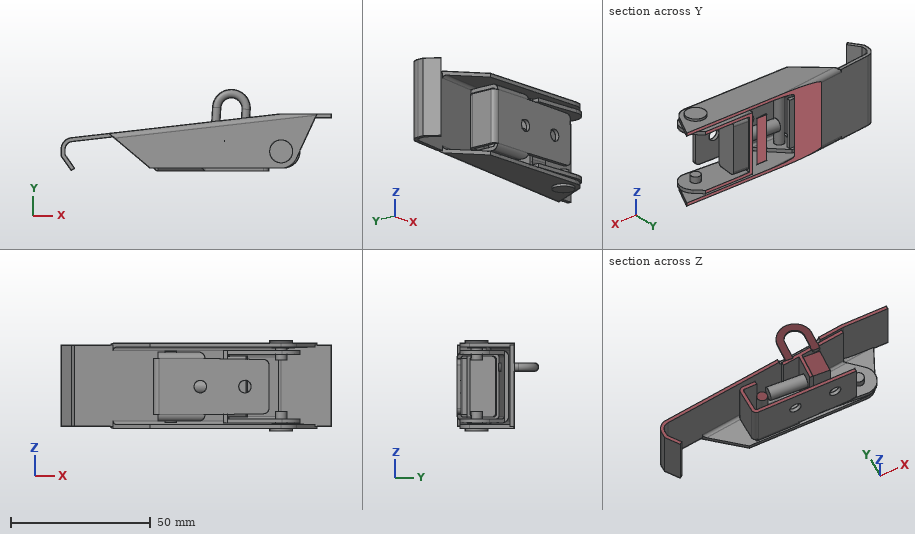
import cadquery as cq
import math


SHEET = 1.5
CENTRE_Z = -0.3

TAIL_END_X = 18.0
TAIL_TOP_Y = 13.5
WEB_BEND_X = -0.1
WEB_SLOPE = math.radians(6.5)
STRIP_WIDTH = 29.1
LEVER_WIDTH = 30.7
LEVER_OUTER_BEND = 1.9
LEVER_INNER_BEND = 1.2
FLANGE_BOTTOM_Y = -6.0
FLANGE_BOTTOM_LEFT_X = -47.0
FLANGE_LEFT_ANGLE = math.radians(49.8)
FLANGE_TAIL_X = 12.9
LEVER_LENGTH = 97.0
HOOK_END_X = TAIL_END_X - LEVER_LENGTH
HOOK_RADIUS = 4.3
LIP_TOP_Y = -1.65
LIP_LENGTH = 6.4
LIP_ANGLE = math.radians(35)
SLOT_CENTRE_X = -18.6
SLOT_LENGTH = 17.5
SLOT_WIDTH = 4.7

LATCH_WIDTH = 32.5
RIVET_HEAD_DIAMETER = 8.2
RIVET_COLLAR_DIAMETER = 6.6
RIVET_COLLAR_THICKNESS = 0.4
RIVET_DIAMETER = 4.1
RIVET_INNER_Z = 9.2

MECHANISM_TILT = math.radians(3.4)
BRACKET_WIDTH = 26.0
BRACKET_BEND = 0.9
BRACKET_TOP_DEPTH = SHEET + 0.5
BRACKET_FLOOR_DEPTH = BRACKET_TOP_DEPTH + SHEET
BRACKET_REAR_X = -1.0
WALL_X = -20.7
WALL_BOTTOM_Y = -1.9
WALL_HEIGHT = 10.7
EAR_LEFT_X = -19.2
EAR_X = 0.7
EAR_Y = 0.1
EAR_RADIUS = 6.1
TONGUE_LEFT_X = -26.7
TONGUE_WIDTH = 19.4

BLOCK_LENGTH = 6.6
BLOCK_HEIGHT = 9.2
BLOCK_WIDTH = 21.9
BLOCK_EDGE_RADIUS = 1.5
ROD_DIAMETER = 5.0
ROD_LENGTH = 16.0
ROD_HEIGHT = 3.9

BASE_LEFT_X = -45.8
BASE_RIGHT_X = -4.4
BASE_BOTTOM_Y = -7.1
BASE_TOP_Y = 5.5
BASE_WIDTH = 20.2
BASE_RIGHT_WIDTH = 19.4
BASE_CORNER_RADIUS = 1.9
BASE_BEND = 1.9
BASE_TOP_FLANGE_X = -38.8
BASE_SIDE_WIDTH = 24.8
BASE_SIDE_BEND = (BASE_SIDE_WIDTH - BASE_WIDTH) / 2
BASE_SIDE_LEFT_X = -44.2
BASE_SIDE_RIGHT_X = -27.4
SCREW_HOLE_DIAMETER = 4.5
SCREW_HOLE_XS = (-29.0, -13.0)

PIN_X = -39.6
PIN_Y = -1.5
PIN_DIAMETER = 4.1
PIN_LENGTH = 25.6

STAPLE_X = -17.8
STAPLE_Y = 15.4
STAPLE_Z = 6.7
STAPLE_WIDTH = 13.6
WIRE_DIAMETER = 3.0
STAPLE_RADIUS = (STAPLE_WIDTH - WIRE_DIAMETER) / 2
STAPLE_LEG = 7.2

FAR = 116.4
TOLERANCE = 0.0001


def polar(x, y, radius, angle):
    return (x + radius * math.cos(angle), y + radius * math.sin(angle))


def web_y(x, depth=0.0):
    """Height of the sloping web plane, measured a given depth below its outer face."""
    return TAIL_TOP_Y + (x - WEB_BEND_X) * math.tan(WEB_SLOPE) - depth / math.cos(WEB_SLOPE)


def tangent_angle(x, y, radius, point):
    """Angle, clockwise of the point, where the tangent from an outside point touches a circle."""
    dx, dy = point[0] - x, point[1] - y
    return math.atan2(dy, dx) - math.acos(radius / math.hypot(dx, dy))


def across(outline, width, middle_z=0.0):
    """Extrude an XY outline symmetrically along Z."""
    return outline.extrude(width / 2, both=True).translate((0, 0, middle_z))


def box(x_min, x_max, y_min, y_max, width, middle_z=0.0):
    outline = cq.Workplane("XY").center((x_min + x_max) / 2, (y_min + y_max) / 2)
    return across(outline.rect(x_max - x_min, y_max - y_min), width, middle_z)


def below(y):
    return box(-FAR, FAR, y - FAR, y, FAR)


def cylinder(x, y, diameter, z_min, z_max):
    return cq.Workplane("XY", origin=(x, y, z_min)).circle(diameter / 2).extrude(z_max - z_min)



def lever_wedge():
    """Side outline of the flanges, with the web plane carried straight on past the tail."""
    radius = -FLANGE_BOTTOM_Y
    tail_corner = (FLANGE_TAIL_X, TAIL_TOP_Y)
    tangent = tangent_angle(0, 0, radius, tail_corner)
    corner = polar(0, 0, radius, tangent)
    rear_run = (tail_corner[0] - corner[0]) / (tail_corner[1] - corner[1])
    web_tan = math.tan(WEB_SLOPE)
    rise = (web_y(FLANGE_TAIL_X) - TAIL_TOP_Y) / (1 - rear_run * web_tan)
    rear_top = (FLANGE_TAIL_X + rise * rear_run, TAIL_TOP_Y + rise)
    left_tan = math.tan(FLANGE_LEFT_ANGLE)
    left_rise = (web_y(FLANGE_BOTTOM_LEFT_X) - FLANGE_BOTTOM_Y) / (1 + left_tan * web_tan)
    left_top_x = FLANGE_BOTTOM_LEFT_X - left_rise * left_tan
    outline = (
        cq.Workplane("XY")
        .moveTo(FLANGE_BOTTOM_LEFT_X, FLANGE_BOTTOM_Y)
        .lineTo(0, FLANGE_BOTTOM_Y)
        .threePointArc(polar(0, 0, radius, (tangent - math.pi / 2) / 2), corner)
        .lineTo(*rear_top)
        .lineTo(left_top_x, web_y(left_top_x))
        .close()
    )
    return across(outline, LEVER_WIDTH)


def sloping_edges(solid, depth):
    """The two long edges of a prism that lie on the web plane at the given depth."""
    def on_plane(edge):
        return all(abs(v.Y - web_y(v.X, depth)) < TOLERANCE for v in edge.Vertices())
    return solid.newObject([e for e in solid.edges("not |Z").vals() if on_plane(e)])


def under_web(depth, width, edge_radius, middle_z=0.0):
    """Everything below a plane parallel to the web, with its two long edges rounded."""
    region = across(
        cq.Workplane("XY").polyline([
            (-FAR, -FAR),
            (FAR, -FAR),
            (FAR, web_y(FAR, depth)),
            (-FAR, web_y(-FAR, depth)),
        ]).close(),
        width,
        middle_z,
    )
    return sloping_edges(region, depth).fillet(edge_radius)


def lever_channel(wedge):
    outside = sloping_edges(wedge, 0).fillet(LEVER_OUTER_BEND).intersect(below(TAIL_TOP_Y))
    cavity = under_web(SHEET, LEVER_WIDTH - 2 * SHEET, LEVER_INNER_BEND)
    return outside.cut(cavity.intersect(below(TAIL_TOP_Y - SHEET)))


def lever_strip():
    """Flat tail, sloping web and hook bent from one strip."""
    hook_x = HOOK_END_X + HOOK_RADIUS
    hook_y = web_y(hook_x, HOOK_RADIUS)
    inner_radius = HOOK_RADIUS - SHEET
    web_normal = math.pi / 2 + WEB_SLOPE
    arc_middle = (web_normal + math.pi) / 2
    inner_bend_x = WEB_BEND_X + SHEET * math.tan(WEB_SLOPE / 2)
    tip_outer = (
        HOOK_END_X + LIP_LENGTH * math.sin(LIP_ANGLE),
        LIP_TOP_Y - LIP_LENGTH * math.cos(LIP_ANGLE),
    )
    tip_inner = polar(*tip_outer, SHEET, LIP_ANGLE)
    outline = (
        cq.Workplane("XY")
        .moveTo(TAIL_END_X, TAIL_TOP_Y)
        .lineTo(WEB_BEND_X, TAIL_TOP_Y)
        .lineTo(*polar(hook_x, hook_y, HOOK_RADIUS, web_normal))
        .threePointArc(polar(hook_x, hook_y, HOOK_RADIUS, arc_middle), (HOOK_END_X, hook_y))
        .lineTo(HOOK_END_X, LIP_TOP_Y)
        .lineTo(*tip_outer)
        .lineTo(*tip_inner)
        .lineTo(HOOK_END_X + SHEET, LIP_TOP_Y + SHEET * math.tan(LIP_ANGLE / 2))
        .lineTo(HOOK_END_X + SHEET, hook_y)
        .threePointArc(
            polar(hook_x, hook_y, inner_radius, arc_middle),
            polar(hook_x, hook_y, inner_radius, web_normal),
        )
        .lineTo(inner_bend_x, TAIL_TOP_Y - SHEET)
        .lineTo(TAIL_END_X, TAIL_TOP_Y - SHEET)
        .close()
    )
    return across(outline, STRIP_WIDTH)


def staple_slot():
    slot = cq.Workplane("XZ").center(SLOT_CENTRE_X, STAPLE_Z).slot2D(SLOT_LENGTH, SLOT_WIDTH)
    return slot.extrude(-FAR)


def make_lever(rivets):
    wedge = lever_wedge()
    lever = lever_channel(wedge).union(lever_strip().cut(wedge))
    lever = lever.cut(staple_slot())
    for rivet in rivets:
        lever = lever.cut(rivet)
    return lever



def make_rivet(side):
    """Pivot rivet for the +Z (side = 1) or -Z (side = -1) flange."""
    flange_outer = LEVER_WIDTH / 2
    flange_inner = flange_outer - SHEET
    rivet = cylinder(0, 0, RIVET_DIAMETER, RIVET_INNER_Z, flange_outer)
    rivet = rivet.union(cylinder(0, 0, RIVET_HEAD_DIAMETER, flange_outer, LATCH_WIDTH / 2))
    collar_bottom = flange_inner - RIVET_COLLAR_THICKNESS
    rivet = rivet.union(cylinder(0, 0, RIVET_COLLAR_DIAMETER, collar_bottom, flange_inner))
    return rivet if side > 0 else rivet.mirror("XY")



def tilted(body, x, y):
    """Turn a body about a Z-parallel axis through (x, y) by the tilt of the mechanism."""
    return body.rotate((x, y, 0), (x, y, 1), -math.degrees(MECHANISM_TILT))


def on_wall(x_min, x_max, y_min, y_max, width):
    """Upright box placed from the lower outer corner of the end wall."""
    return box(WALL_X + x_min, WALL_X + x_max, WALL_BOTTOM_Y + y_min, WALL_BOTTOM_Y + y_max, width, CENTRE_Z)


def ear_profile():
    """Side outline of the ears, round the pivot and up to the floor."""
    floor_end = (BRACKET_REAR_X, web_y(BRACKET_REAR_X, BRACKET_FLOOR_DEPTH))
    bottom = -math.pi / 2 - MECHANISM_TILT
    rear = tangent_angle(EAR_X, EAR_Y, EAR_RADIUS, floor_end)
    lowest = polar(EAR_X, EAR_Y, EAR_RADIUS, bottom)
    left_y = lowest[1] + (lowest[0] - EAR_LEFT_X) * math.tan(MECHANISM_TILT)
    outline = (
        cq.Workplane("XY")
        .moveTo(EAR_LEFT_X, left_y)
        .lineTo(*lowest)
        .threePointArc(
            polar(EAR_X, EAR_Y, EAR_RADIUS, (bottom + rear) / 2),
            polar(EAR_X, EAR_Y, EAR_RADIUS, rear),
        )
        .lineTo(*floor_end)
        .lineTo(BRACKET_REAR_X, web_y(BRACKET_REAR_X, BRACKET_TOP_DEPTH))
        .lineTo(EAR_LEFT_X, web_y(EAR_LEFT_X, BRACKET_TOP_DEPTH))
        .close()
    )
    return across(outline, BRACKET_WIDTH, CENTRE_Z)


def bracket_tongue():
    """Floor carried on past the end wall to hold the front leg of the staple."""
    outline = cq.Workplane("XY").polyline([
        (TONGUE_LEFT_X, web_y(TONGUE_LEFT_X, BRACKET_FLOOR_DEPTH)),
        (EAR_LEFT_X, web_y(EAR_LEFT_X, BRACKET_FLOOR_DEPTH)),
        (EAR_LEFT_X, web_y(EAR_LEFT_X, BRACKET_TOP_DEPTH)),
        (TONGUE_LEFT_X, web_y(TONGUE_LEFT_X, BRACKET_TOP_DEPTH)),
    ]).close()
    return across(outline, TONGUE_WIDTH, CENTRE_Z)


def make_bracket(rivets, staple, rod):
    cavity = under_web(BRACKET_FLOOR_DEPTH, BRACKET_WIDTH - 2 * SHEET, BRACKET_BEND, CENTRE_Z)
    envelope = under_web(BRACKET_TOP_DEPTH, BRACKET_WIDTH, BRACKET_BEND + SHEET, CENTRE_Z)
    wall = tilted(on_wall(0, SHEET, 0, WALL_HEIGHT, BRACKET_WIDTH), WALL_X, WALL_BOTTOM_Y)
    bracket = ear_profile().cut(cavity).union(wall).union(bracket_tongue()).intersect(envelope)
    for fitted_body in (*rivets, staple, rod):
        bracket = bracket.cut(fitted_body)
    return bracket



def make_block():
    block = on_wall(SHEET, SHEET + BLOCK_LENGTH, 0, BLOCK_HEIGHT, BLOCK_WIDTH)
    return tilted(block.edges("|X").fillet(BLOCK_EDGE_RADIUS), WALL_X, WALL_BOTTOM_Y)


def make_rod():
    """Round rod through the end wall, butting against the block."""
    start = (WALL_X + SHEET, WALL_BOTTOM_Y + ROD_HEIGHT, CENTRE_Z)
    rod = cq.Workplane("YZ", origin=start).circle(ROD_DIAMETER / 2).extrude(-ROD_LENGTH)
    return tilted(rod, WALL_X, WALL_BOTTOM_Y)



def base_strip():
    """Mounting plate, front wall and top flange bent from one strip."""
    plate_top = BASE_BOTTOM_Y + SHEET
    outside = box(BASE_LEFT_X, BASE_RIGHT_X, BASE_BOTTOM_Y, BASE_TOP_Y, BASE_WIDTH, CENTRE_Z)
    outside = outside.edges("|Z and <X").fillet(BASE_BEND)
    inside = box(BASE_LEFT_X + SHEET, FAR, plate_top, BASE_TOP_Y - SHEET, BASE_WIDTH, CENTRE_Z)
    inside = inside.edges("|Z and <X").fillet(BASE_BEND - SHEET)
    above_plate = box(BASE_TOP_FLANGE_X, FAR, plate_top, FAR, BASE_WIDTH, CENTRE_Z)
    return outside.cut(inside).cut(above_plate)


def base_plan():
    """Outline over the strip: parallel at the front, narrowing to rounded rear corners."""
    front_half = BASE_WIDTH / 2
    rear_half = BASE_RIGHT_WIDTH / 2
    outline = cq.Workplane("XZ", origin=(0, 0, CENTRE_Z)).polyline([
        (BASE_LEFT_X, -front_half),
        (BASE_SIDE_RIGHT_X, -front_half),
        (BASE_RIGHT_X, -rear_half),
        (BASE_RIGHT_X, rear_half),
        (BASE_SIDE_RIGHT_X, front_half),
        (BASE_LEFT_X, front_half),
    ]).close()
    return outline.extrude(FAR, both=True).edges("|Y and >X").fillet(BASE_CORNER_RADIUS)


def base_sides():
    """Side walls bent up from the plate, with a 45 degree rear edge."""
    height = BASE_TOP_Y - BASE_BOTTOM_Y
    x_range = (BASE_SIDE_LEFT_X, BASE_SIDE_RIGHT_X)
    outside = box(*x_range, BASE_BOTTOM_Y, BASE_TOP_Y, BASE_SIDE_WIDTH, CENTRE_Z)
    outside = outside.edges("|X and <Y").fillet(BASE_SIDE_BEND)
    inside = box(*x_range, BASE_BOTTOM_Y + SHEET, FAR, BASE_SIDE_WIDTH - 2 * SHEET, CENTRE_Z)
    inside = inside.edges("|X and <Y").fillet(BASE_SIDE_BEND - SHEET)
    outline = cq.Workplane("XY").polyline([
        (BASE_SIDE_LEFT_X, BASE_BOTTOM_Y),
        (BASE_SIDE_RIGHT_X, BASE_BOTTOM_Y),
        (BASE_SIDE_RIGHT_X - height, BASE_TOP_Y),
        (BASE_SIDE_LEFT_X, BASE_TOP_Y),
    ]).close()
    plate_room = box(-FAR, FAR, -FAR, FAR, BASE_WIDTH, CENTRE_Z)
    return outside.cut(inside).intersect(across(outline, FAR)).cut(plate_room)


def make_base(pin):
    base = base_strip().intersect(base_plan()).union(base_sides())
    for x in SCREW_HOLE_XS:
        hole = cq.Workplane("XZ", origin=(x, 0, CENTRE_Z)).circle(SCREW_HOLE_DIAMETER / 2)
        base = base.cut(hole.extrude(-BASE_BOTTOM_Y))
    return base.cut(pin)


def make_pin():
    half_length = PIN_LENGTH / 2
    return cylinder(PIN_X, PIN_Y, PIN_DIAMETER, CENTRE_Z - half_length, CENTRE_Z + half_length)



def make_staple():
    left_x = STAPLE_X - STAPLE_RADIUS
    right_x = STAPLE_X + STAPLE_RADIUS
    foot_y = STAPLE_Y - STAPLE_LEG
    path = (
        cq.Workplane("XY", origin=(0, 0, STAPLE_Z))
        .moveTo(left_x, foot_y)
        .lineTo(left_x, STAPLE_Y)
        .threePointArc((STAPLE_X, STAPLE_Y + STAPLE_RADIUS), (right_x, STAPLE_Y))
        .lineTo(right_x, foot_y)
    )
    foot = cq.Workplane("XZ", origin=(left_x, foot_y, STAPLE_Z)).circle(WIRE_DIAMETER / 2)
    return tilted(foot.sweep(path), STAPLE_X, STAPLE_Y)



rivets = [make_rivet(side) for side in (1, -1)]
staple = make_staple()
block = make_block()
rod = make_rod()
pin = make_pin()
lever = make_lever(rivets)
bracket = make_bracket(rivets, staple, rod)
base = make_base(pin)

result = cq.Compound.makeCompound([
    lever.val(),
    *[rivet.val() for rivet in rivets],
    bracket.val(),
    block.val(),
    rod.val(),
    base.val(),
    pin.val(),
    staple.val(),
])